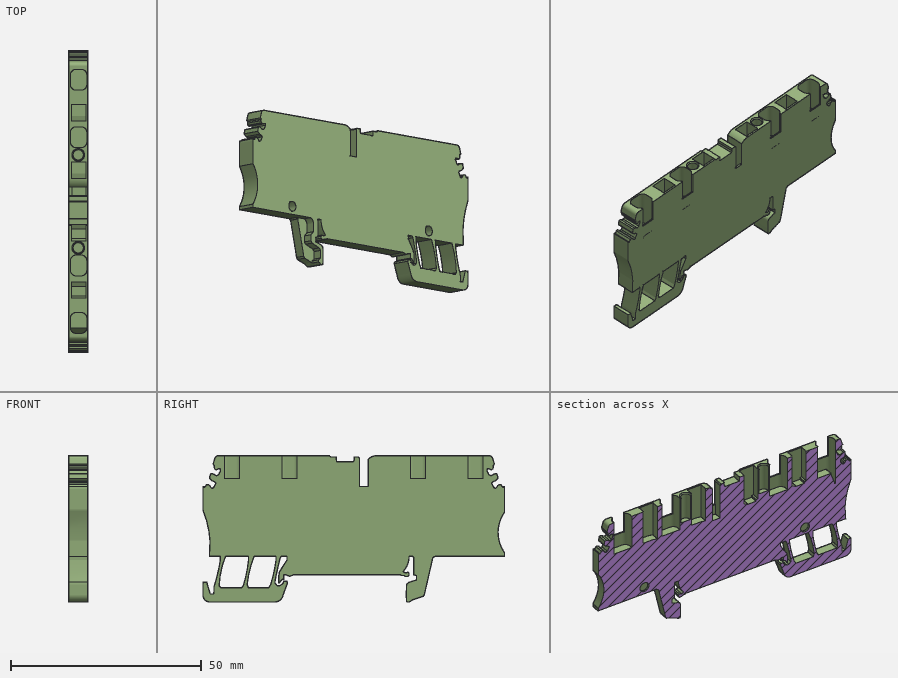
import cadquery as cq

THICKNESS = 5.1
LENGTH = 79.05
HEIGHT = 38.35
FACE_X = THICKNESS / 2

HOUSING_BASE_Z = 11.95
RAIL_SEAT_Z = 7.15
SHOULDER_Z = 30.3
WAIST_TOP_Z = 23.55
TOP_CORNER_D = 4.1
TOP_CORNER_Z = 37.6
TOP_CORNER_MID = (3.49, 38.13)
RIGID_FOOT_SIDE_D = 77.35

SLOT_START_D = 35.75
SLOT_END_D = 38.0
SLOT_FLOOR_Z = 30.3
LEDGE_Z = 38.0
LABEL_SEAT_Z = 36.75
SLOT_POCKET_X = (-1.6, 2.07)
SLOT_POCKET_DEPTH = 3.0

OPENING_PITCH = 15.05
OPENING_DEPTH = 10.0
FUNNEL_CENTER_D = 7.68
FUNNEL_LENGTH = 5.45
FUNNEL_X = (-2.07, 2.25)
FUNNEL_CORNER_RADIUS = 1.5
WINDOW_LENGTH = 3.9
FUNNEL_FLOOR_Z = HEIGHT - OPENING_DEPTH
WINDOW_DEPTH = 6.0
WELL_START_D = 14.15
WELL_LENGTH = 4.3
WELL_X = (-1.83, 2.07)
WELL_FLOOR_Z = HEIGHT - OPENING_DEPTH
WELL_SLOPE_LENGTH = 1.2
NEAR_SLOPE_DROP = 0.28
FAR_SLOPE_DROP = 0.57
WELL_LEDGE_LENGTH = 0.6
SINK_LENGTH = 1.45
SINK_DROP = 4.0
TEST_HOLE_D = 27.35
TEST_HOLE_RADIUS = 1.35
TEST_HOLE_RIM_RADIUS = 1.65
TEST_HOLE_CHAMFER = TEST_HOLE_RIM_RADIUS - TEST_HOLE_RADIUS
TEST_HOLE_DEPTH = 8.0

SIDE_HOLE_D = (14.45, 64.6)
SIDE_HOLE_Z = 14.1
SIDE_HOLE_RADIUS = 1.3
SIDE_HOLE_DEPTH = 3.0

FOOT_OVERLAP = 1.0
CLIP_RECESS_DEPTH = 2.4
FOOT_WINDOW_FLOOR_Z = 3.8

MARKER_GROOVES = [
    (0, 29.6), (0.1, SHOULDER_Z), (0.3, SHOULDER_Z), (0.5, 30.05), (0.95, 30.75), (1.5, 30.75),
    (1.85, 30.5), (2.1, 30.05), (2.4, 29.8), (2.8, 30.0), (3.4, 31.15), (3.1, 31.5), (2.4, 31.75),
    (1.7, 32.4), (2.0, 33.6), (2.55, 33.65), (3.6, 33.1), (4.1, 33.35), (4.6, 34.4),
    (4.55, 34.85), (4.0, 34.85), (3.5, 34.6), (3.1, 34.85), (2.9, 35.4), (3.05, 35.8),
    (2.65, 36.1), (3.1, TOP_CORNER_Z),
]


def profile_plane():
    """Plane on the -X face with local x along d and local y along z."""
    return cq.Workplane(cq.Plane(origin=(-FACE_X, LENGTH / 2, 0), xDir=(0, -1, 0), normal=(-1, 0, 0)))


def prism(outline, depth=THICKNESS):
    """Extrude a closed outline from the -X face toward +X."""
    return outline.close().extrude(-depth)


def block(d_range, x_range, z_range):
    """Box between the given limits."""
    size_d = d_range[1] - d_range[0]
    size_x = x_range[1] - x_range[0]
    size_z = z_range[1] - z_range[0]
    corner = (x_range[0], LENGTH / 2 - d_range[1], z_range[0])
    return cq.Workplane("XY").box(size_x, size_d, size_z, centered=False).translate(corner)


def mirrored_halves(solid):
    """The solid together with its mirror image about the middle of the length."""
    return [solid, solid.mirror("XZ")]


def housing():
    far_grooves = [(LENGTH - d, z) for d, z in reversed(MARKER_GROOVES)]
    outline = (
        profile_plane()
        .moveTo(0, HOUSING_BASE_Z)
        .lineTo(0, 12.8)
        .lineTo(0.2, 13.2)
        .threePointArc((1.7, 18.4), (0, WAIST_TOP_Z))
    )
    for point in MARKER_GROOVES:
        outline = outline.lineTo(*point)
    outline = (
        outline.threePointArc(TOP_CORNER_MID, (TOP_CORNER_D, HEIGHT))
        .lineTo(33.6, HEIGHT)
        .threePointArc((34.77, 38.09), (SLOT_START_D, 37.4))
        .lineTo(SLOT_START_D, SLOT_FLOOR_Z)
        .lineTo(SLOT_END_D, SLOT_FLOOR_Z)
        .lineTo(SLOT_END_D, 37.7)
        .lineTo(38.3, LEDGE_Z)
        .lineTo(39.45, LEDGE_Z)
        .lineTo(39.4, 37.2)
        .lineTo(39.65, LABEL_SEAT_Z)
        .lineTo(44.0, LABEL_SEAT_Z)
        .lineTo(44.1, LEDGE_Z)
        .lineTo(45.6, LEDGE_Z)
        .lineTo(45.9, HEIGHT)
        .lineTo(LENGTH - TOP_CORNER_D, HEIGHT)
        .threePointArc((LENGTH - TOP_CORNER_MID[0], TOP_CORNER_MID[1]), far_grooves[0])
    )
    for point in far_grooves[1:]:
        outline = outline.lineTo(*point)
    outline = (
        outline.lineTo(LENGTH, 24.2)
        .lineTo(78.95, 23.8)
        .threePointArc((77.7, 19.75), (77.2, 16.0))
        .lineTo(RIGID_FOOT_SIDE_D, HOUSING_BASE_Z)
        .lineTo(57.05, HOUSING_BASE_Z)
        .lineTo(57.05, 11.0)
        .lineTo(59.0, 7.9)
        .lineTo(59.2, 6.8)
        .lineTo(59.2, 5.0)
        .lineTo(59.0, 5.0)
        .lineTo(58.3, 5.9)
        .lineTo(57.8, 5.95)
        .lineTo(57.8, RAIL_SEAT_Z)
        .lineTo(57.4, RAIL_SEAT_Z)
        .lineTo(56.3, 6.7)
        .lineTo(55.2, RAIL_SEAT_Z)
        .lineTo(27.3, RAIL_SEAT_Z)
        .lineTo(27.1, 6.95)
        .lineTo(26.3, 6.9)
        .lineTo(26.0, 6.65)
        .lineTo(25.4, 6.65)
        .lineTo(25.05, 7.0)
        .lineTo(25.05, 7.5)
        .lineTo(25.3, 7.85)
        .lineTo(26.0, 7.65)
        .lineTo(26.6, 8.0)
        .threePointArc((25.55, 9.5), (25.05, 11.2))
        .lineTo(25.0, HOUSING_BASE_Z)
    )
    return prism(outline)


def clip_foot():
    outline = (
        profile_plane()
        .moveTo(18.2, HOUSING_BASE_Z)
        .lineTo(18.8, 11.6)
        .lineTo(21.0, 2.0)
        .lineTo(21.3, 1.5)
        .lineTo(24.0, 0.6)
        .lineTo(25.0, 0)
        .lineTo(25.6, 0)
        .lineTo(25.75, 0.3)
        .lineTo(25.8, 1.95)
        .lineTo(25.75, 4.1)
        .threePointArc((25.5, 4.85), (25.0, 5.2))
        .lineTo(23.7, 5.65)
        .lineTo(23.1, 5.75)
        .lineTo(23.1, 6.9)
        .lineTo(23.85, 7.15)
        .lineTo(23.85, 11.7)
        .lineTo(24.1, HOUSING_BASE_Z)
        .lineTo(24.1, HOUSING_BASE_Z + FOOT_OVERLAP)
        .lineTo(18.2, HOUSING_BASE_Z + FOOT_OVERLAP)
    )
    return prism(outline).cut(clip_recess())


def clip_recess():
    """Step that thins the outer part of the clip foot on the -X face."""
    outline = (
        profile_plane()
        .moveTo(18.0, HOUSING_BASE_Z)
        .lineTo(21.2, HOUSING_BASE_Z)
        .threePointArc((21.95, 11.3), (22.2, 10.5))
        .lineTo(22.2, 8.35)
        .lineTo(21.25, 7.4)
        .lineTo(21.25, 5.8)
        .lineTo(21.7, 5.25)
        .lineTo(24.3, 4.3)
        .lineTo(24.85, 3.7)
        .lineTo(24.85, 1.7)
        .lineTo(24.1, 1.1)
        .lineTo(24.1, 0)
        .lineTo(18.0, 0)
    )
    return prism(outline, CLIP_RECESS_DEPTH)


def rigid_foot():
    outline = (
        profile_plane()
        .moveTo(58.5, HOUSING_BASE_Z)
        .lineTo(58.8, 11.5)
        .threePointArc((59.45, 8.7), (60.1, 5.6))
        .lineTo(60.1, 4.9)
        .lineTo(59.5, 4.3)
        .lineTo(58.9, 4.3)
        .lineTo(58.05, 4.9)
        .lineTo(57.9, 5.5)
        .lineTo(57.0, 5.5)
        .lineTo(56.85, 5.0)
        .lineTo(58.0, 1.85)
        .threePointArc((58.76, 0.525), (60.2, 0))
        .lineTo(77.2, 0)
        .threePointArc((78.508, 0.542), (LENGTH, 1.85))
        .lineTo(LENGTH, 4.55)
        .lineTo(78.95, 5.25)
        .lineTo(78.0, 5.25)
        .lineTo(77.8, 4.5)
        .lineTo(77.1, 2.15)
        .lineTo(76.2, 2.15)
        .lineTo(76.15, 4.0)
        .threePointArc((75.1, 7.8), (74.5, 11.0))
        .lineTo(74.5, HOUSING_BASE_Z)
        .lineTo(74.5, HOUSING_BASE_Z + FOOT_OVERLAP)
        .lineTo(58.5, HOUSING_BASE_Z + FOOT_OVERLAP)
    )
    foot = prism(outline)
    for window in foot_windows():
        foot = foot.cut(window)
    return foot


def foot_windows():
    near_window = (
        profile_plane()
        .moveTo(59.9, HOUSING_BASE_Z)
        .lineTo(65.6, HOUSING_BASE_Z)
        .threePointArc((66.75, 8.4), (67.4, 4.6))
        .lineTo(67.1, FOOT_WINDOW_FLOOR_Z)
        .lineTo(61.8, FOOT_WINDOW_FLOOR_Z)
        .lineTo(61.3, 4.6)
        .threePointArc((60.4, 8.1), (59.9, 11.0))
    )
    far_window = (
        profile_plane()
        .moveTo(67.1, HOUSING_BASE_Z)
        .lineTo(73.1, HOUSING_BASE_Z)
        .threePointArc((74.25, 8.2), (74.75, 4.3))
        .lineTo(74.4, FOOT_WINDOW_FLOOR_Z)
        .lineTo(68.8, FOOT_WINDOW_FLOOR_Z)
        .lineTo(68.4, 4.5)
        .threePointArc((67.6, 7.8), (67.1, 11.0))
    )
    return [prism(near_window), prism(far_window)]


def along(center, length):
    """Limits of a stretch of the given length about its middle."""
    return (center - length / 2, center + length / 2)


def wire_funnel(center_d):
    """Wire entry with rounded corners and a window through the +X wall."""
    funnel = block(along(center_d, FUNNEL_LENGTH), FUNNEL_X, (FUNNEL_FLOOR_Z, HEIGHT))
    funnel = funnel.edges("|Z").fillet(FUNNEL_CORNER_RADIUS)
    window = block(along(center_d, WINDOW_LENGTH), (0, FACE_X), (HEIGHT - WINDOW_DEPTH, HEIGHT))
    return funnel.union(window)


def falling_wedge(start_d, end_d, top_z, drop, x_range):
    """Wedge with a flat top at top_z and an underside that falls by `drop` toward -Y."""
    wedge = (
        profile_plane()
        .moveTo(start_d, top_z)
        .lineTo(end_d, top_z)
        .lineTo(end_d, top_z - drop)
    )
    return prism(wedge).intersect(block((start_d, end_d), x_range, (top_z - drop, top_z)))


def near_release_well(start_d):
    """Rectangular well of the +Y half; the inner end of its floor slopes down."""
    end_d = start_d + WELL_LENGTH
    well = block((start_d, end_d), WELL_X, (WELL_FLOOR_Z, HEIGHT))
    slope = falling_wedge(end_d - WELL_SLOPE_LENGTH, end_d, WELL_FLOOR_Z, NEAR_SLOPE_DROP, WELL_X)
    return well.union(slope)


def far_release_well(end_d):
    """Rectangular well of the -Y half; its floor slopes up to the inner end and steps up at the outer."""
    start_d = end_d - WELL_LENGTH
    slope_end_d = start_d + WELL_SLOPE_LENGTH
    ledge_d = end_d - WELL_LEDGE_LENGTH
    slope_top_z = WELL_FLOOR_Z + FAR_SLOPE_DROP
    upper = block((start_d, end_d), WELL_X, (slope_top_z, HEIGHT))
    middle = block((slope_end_d, ledge_d), WELL_X, (WELL_FLOOR_Z, HEIGHT))
    slope = falling_wedge(start_d, slope_end_d, slope_top_z, FAR_SLOPE_DROP, WELL_X)
    return upper.union(middle).union(slope)


def test_hole():
    hole = (
        cq.Workplane("XY")
        .circle(TEST_HOLE_RADIUS)
        .extrude(TEST_HOLE_DEPTH)
    )
    rim = cq.Solid.makeCone(
        TEST_HOLE_RADIUS, TEST_HOLE_RIM_RADIUS, TEST_HOLE_CHAMFER,
        pnt=cq.Vector(0, 0, TEST_HOLE_DEPTH - TEST_HOLE_CHAMFER),
    )
    return hole.union(cq.Workplane(rim)).translate((0, LENGTH / 2 - TEST_HOLE_D, HEIGHT - TEST_HOLE_DEPTH))


def funnel_sink():
    """Steep drop at the outer end of the floor of the funnel nearest the -Y end."""
    center_d = LENGTH - FUNNEL_CENTER_D
    end_d = center_d + FUNNEL_LENGTH / 2
    wedge = falling_wedge(end_d - SINK_LENGTH, end_d, FUNNEL_FLOOR_Z, SINK_DROP, FUNNEL_X)
    limits = block(along(center_d, FUNNEL_LENGTH), FUNNEL_X, (FUNNEL_FLOOR_Z - SINK_DROP, FUNNEL_FLOOR_Z))
    return wedge.intersect(limits.edges("|Z").fillet(FUNNEL_CORNER_RADIUS))


def side_holes():
    centers = [(d, SIDE_HOLE_Z) for d in SIDE_HOLE_D]
    return profile_plane().pushPoints(centers).circle(SIDE_HOLE_RADIUS).extrude(-SIDE_HOLE_DEPTH)


def slot_pocket():
    """Pocket sunk into the floor of the central slot."""
    return block(
        (SLOT_START_D, SLOT_END_D), SLOT_POCKET_X, (SLOT_FLOOR_Z - SLOT_POCKET_DEPTH, SLOT_FLOOR_Z)
    )


def top_openings():
    openings = mirrored_halves(test_hole())
    for step in range(2):
        offset = step * OPENING_PITCH
        openings += mirrored_halves(wire_funnel(FUNNEL_CENTER_D + offset))
        well_d = WELL_START_D + offset
        openings += [near_release_well(well_d), far_release_well(LENGTH - well_d)]
    return openings


result = housing().union(clip_foot()).union(rigid_foot())
for cutter in top_openings() + [funnel_sink(), slot_pocket(), side_holes()]:
    result = result.cut(cutter)